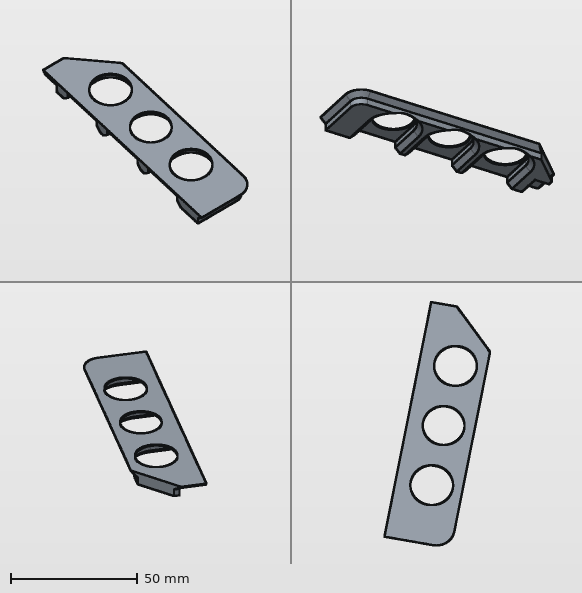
import cadquery as cq

length = 101.3
width = 27.0
height = 5.5
corner_cut = 16.5
corner_radius = 7.3

lip = 0.1
bevel = 2.3
bevel_top = height - lip
bevel_bottom = bevel_top - bevel

hole_y = 14.5
middle_hole_x = 50.6
hole_pitch = 25.7
side_hole_diameter = 16.9
middle_hole_diameter = 16.5
side_channel_width = 18.6
middle_channel_width = 19.4
channel_top = 4.9
flare_top = 2.2

recess_right = 8.7
recess_depth = width - corner_cut
recess_top = 4.0


def rounded_block(z, inset, block_height):
    """Block set in from the left, right and back edges, with a rounded back right corner."""
    return (
        cq.Workplane("XY", origin=(length / 2, 0, z))
        .rect(length - 2 * inset, 2 * (width - inset))
        .extrude(block_height)
        .edges("|Z and >X and >Y")
        .fillet(corner_radius - inset)
    )


def beveled_block():
    """Block that widens at 45 degrees towards the top, longer than needed at the front."""
    wall = rounded_block(0, bevel, bevel_bottom)
    slope = wall.faces(">Z").wires().toPending().extrude(bevel, taper=-45, combine=False)
    rim = rounded_block(bevel_top, 0, lip)
    return wall.union(slope).union(rim)


def plate_outline():
    """Full-height prism with one slanted and one rounded back corner."""
    return (
        cq.Workplane("XY")
        .moveTo(0, 0)
        .lineTo(length, 0)
        .lineTo(length, width)
        .lineTo(corner_cut, width)
        .lineTo(0, width - corner_cut)
        .close()
        .extrude(height)
        .edges("|Z and >X and >Y")
        .fillet(corner_radius)
    )


def channel_outline(x, radius, z):
    """Round-ended outline running from the front edge to the hole centre."""
    return (
        cq.Workplane("XY", origin=(x, 0, z))
        .moveTo(-radius, -bevel)
        .lineTo(-radius, hole_y)
        .threePointArc((0, hole_y + radius), (radius, hole_y))
        .lineTo(radius, -bevel)
        .close()
    )


def channel(x, channel_width):
    """Straight channel with a 45 degree flare at its lower edge."""
    radius = channel_width / 2
    straight = channel_outline(x, radius, 0).extrude(channel_top)
    cone = channel_outline(x, radius, flare_top).extrude(-flare_top, taper=-45)
    return straight.union(cone)


def hole(x, diameter):
    return cq.Workplane("XY", origin=(x, hole_y, 0)).circle(diameter / 2).extrude(height)


result = beveled_block().intersect(plate_outline())

for offset, diameter, channel_width in (
    (-hole_pitch, side_hole_diameter, side_channel_width),
    (0, middle_hole_diameter, middle_channel_width),
    (hole_pitch, side_hole_diameter, side_channel_width),
):
    hole_x = middle_hole_x + offset
    result = result.cut(channel(hole_x, channel_width)).cut(hole(hole_x, diameter))

recess = cq.Workplane("XY").box(recess_right, recess_depth, recess_top, centered=False)
result = result.cut(recess)